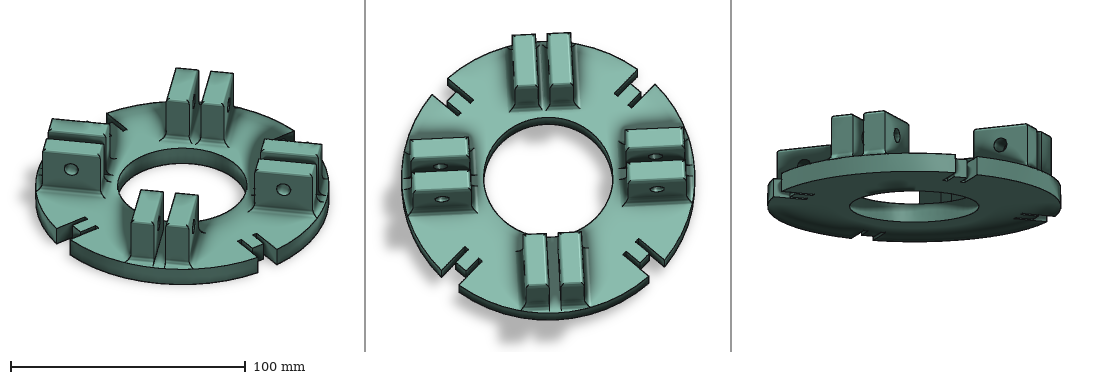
import cadquery as cq
import math

overall_size = 124.6
bore_radius = 27.5
plate_thickness = 8.0
total_height = 28.0

notch_width = 10.0
notch_floor_radius = 47.5
tab_width = 6.0
tab_end_radius = 55.5
notch_angles = (0, 90, 180, 270)

block_side = 25.0
block_center_radius = 45.9
root_fillet = 3.0
top_round = 1.5
gap_width = 5.0
gap_floor_fillet = 2.2
pin_hole_diameter = 6.0
pin_hole_height = 19.5
plain_angles = (45, 225)
filleted_gap_angle = 135
square_inner_root_angle = 315

block_height = total_height - plate_thickness
footing_side = 2 * block_side
outer_radius = math.hypot(overall_size / 2, notch_width / 2)


def box_on(level, length, width, height, center_x):
    """Box standing on the given level, centred on the X axis at center_x."""
    return (
        cq.Workplane("XY", origin=(center_x, 0, level))
        .rect(length, width)
        .extrude(height)
    )


def turned(shape, angle):
    """Turn a shape about the ring axis."""
    return shape.rotate((0, 0, 0), (0, 0, 1), angle)


def notched_plate():
    """Ring with four rim notches and a tab in each notch."""
    plate = cq.Workplane("XY").circle(outer_radius).circle(bore_radius).extrude(plate_thickness)
    notch_length = outer_radius - notch_floor_radius
    notch = box_on(0, notch_length, notch_width, plate_thickness, notch_floor_radius + notch_length / 2)
    tab_length = tab_end_radius - notch_floor_radius
    tab = box_on(0, tab_length, tab_width, plate_thickness, notch_floor_radius + tab_length / 2)
    for angle in notch_angles:
        plate = plate.cut(turned(notch.cut(tab), angle))
    return plate


def clevis(gap_fillet=0, inner_fillet=True):
    """Clevis block on the +X axis, with optional gap floor fillets and inner root fillet."""
    footing = box_on(0, footing_side, footing_side, plate_thickness, block_center_radius)
    block = box_on(plate_thickness, block_side, block_side, block_height, block_center_radius)
    reach = block_side / 2 + root_fillet
    root_edges = cq.selectors.BoxSelector(
        (block_center_radius - reach, -reach, plate_thickness - root_fillet),
        (block_center_radius + reach, reach, plate_thickness + root_fillet),
    )
    body = footing.union(block).edges(root_edges).fillet(root_fillet)

    gap = box_on(plate_thickness, footing_side, gap_width, block_height, block_center_radius)
    if gap_fillet > 0:
        gap = gap.faces("<Z").edges("|X").fillet(gap_fillet)
    body = body.cut(gap).faces(">Z").edges().fillet(top_round)

    if not inner_fillet:
        inner_face = block_center_radius - block_side / 2
        inner_root = box_on(
            plate_thickness, root_fillet, footing_side, root_fillet, inner_face - root_fillet / 2
        )
        body = body.cut(inner_root)

    pin_hole = (
        cq.Workplane("XZ", origin=(block_center_radius, 0, pin_hole_height))
        .circle(pin_hole_diameter / 2)
        .extrude(block_side, both=True)
    )
    inside_rim = cq.Workplane("XY", origin=(0, 0, plate_thickness)).circle(outer_radius).extrude(block_height)
    return body.cut(pin_hole).intersect(inside_rim)


result = notched_plate()
for angle in plain_angles:
    result = result.union(turned(clevis(), angle))
result = result.union(turned(clevis(gap_fillet=gap_floor_fillet), filleted_gap_angle))
result = result.union(turned(clevis(inner_fillet=False), square_inner_root_angle))